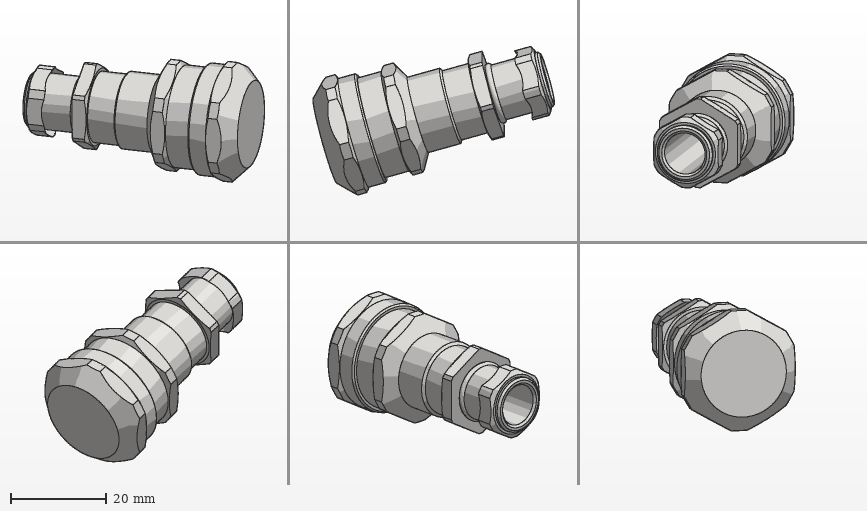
import cadquery as cq
import math

length = 48.7

tube_radius = 12.0 / 2
tube_tip_chamfer = 0.5
bore_radius = 8.8 / 2
bore_mouth_chamfer = 0.5

tip_nut_start = 1.0
tip_nut_end = 5.15
tip_nut_flats = 14.05
tip_nut_corners = 15.2
tip_nut_face_radius = 6.55

ring_section_radius = 0.7
ring_pitch_radius = 5.85
ring_x = 11.3

locknut_start = 11.9
locknut_end = 15.0
locknut_flats = 16.95
locknut_corners = 19.05
locknut_chamfer_length = 0.45
locknut_chamfer_height = 1.25

neck_radius = 15.2 / 2
collar_start = 20.85
collar_radius = 16.5 / 2
collar_cone_length = 0.45
barrel_radius = 21.8 / 2

body_hex_cone_start = 28.35
body_hex_end = 33.3
body_hex_flats = 22.2
body_hex_corners = 23.95

skirt_start = 38.45
skirt_radius = 23.8 / 2
skirt_edge_chamfer = 0.4
cap_hex_start = 42.48
cap_hex_flats = 24.0
cap_hex_corners = 25.7
cap_nose_radius = 9.3

hex_cone_slope = math.tan(math.radians(60))

flat_to_corner_angle = 30

bore_depth = body_hex_cone_start


def revolve(profile):
    """Turn a closed (x, radius) outline around the X axis."""
    return cq.Workplane("XY").polyline(profile).close().revolve(360, (0, 0, 0), (1, 0, 0))


def cylinder(start, end, radius):
    return cq.Workplane("YZ", origin=(start, 0, 0)).circle(radius).extrude(end - start)


def hexagon(start, end, flats, turn=0):
    """Hexagonal bar along X with two flats facing Y, or two facing Z when turned by 30 degrees."""
    plane = cq.Workplane("YZ", origin=(start, 0, 0)).transformed(rotate=(0, 0, turn))
    return plane.polygon(6, flats, circumscribed=True).extrude(end - start)


def cut_corner_hexagon(start, end, flats, corners):
    """Hexagonal bar whose six corners are cut flat."""
    return hexagon(start, end, flats).intersect(hexagon(start, end, corners, flat_to_corner_angle))


def tip_nut():
    """Nut with a cone on its front face and a 45 degree dish in its rear face."""
    corner_radius = tip_nut_corners / 2
    cone_length = (corner_radius - tip_nut_face_radius) / hex_cone_slope
    dish_depth = corner_radius - tube_radius
    envelope = revolve([
        (tip_nut_start, 0),
        (tip_nut_start, tip_nut_face_radius),
        (tip_nut_start + cone_length, corner_radius),
        (tip_nut_end, corner_radius),
        (tip_nut_end - dish_depth, tube_radius),
        (tip_nut_end - dish_depth, 0),
    ])
    return hexagon(tip_nut_start, tip_nut_end, tip_nut_flats).intersect(envelope)


def sealing_ring():
    section = cq.Workplane("XY").moveTo(ring_x, ring_pitch_radius).circle(ring_section_radius)
    return section.revolve(360, (0, 0, 0), (1, 0, 0))


def locknut():
    corner_radius = locknut_corners / 2
    envelope = revolve([
        (locknut_start, 0),
        (locknut_start, corner_radius),
        (locknut_end - locknut_chamfer_length, corner_radius),
        (locknut_end, corner_radius - locknut_chamfer_height),
        (locknut_end, 0),
    ])
    return hexagon(locknut_start, locknut_end, locknut_flats).intersect(envelope)


def collar_with_cone():
    return revolve([
        (collar_start, 0),
        (collar_start, neck_radius),
        (collar_start + collar_cone_length, collar_radius),
        (body_hex_end, collar_radius),
        (body_hex_end, 0),
    ])


def body_hexagon():
    peak_radius = body_hex_flats / math.sqrt(3)
    rise = (peak_radius - collar_radius) / hex_cone_slope
    fall = (peak_radius - barrel_radius) / hex_cone_slope
    envelope = revolve([
        (body_hex_cone_start, 0),
        (body_hex_cone_start, collar_radius),
        (body_hex_cone_start + rise, peak_radius),
        (body_hex_end - fall, peak_radius),
        (body_hex_end, barrel_radius),
        (body_hex_end, 0),
    ])
    bar = cut_corner_hexagon(body_hex_cone_start, body_hex_end, body_hex_flats, body_hex_corners)
    return bar.intersect(envelope)


def cap_hexagon():
    peak_radius = cap_hex_flats / math.sqrt(3)
    rise = (peak_radius - skirt_radius) / hex_cone_slope
    nose_length = peak_radius - cap_nose_radius
    envelope = revolve([
        (cap_hex_start, 0),
        (cap_hex_start, skirt_radius),
        (cap_hex_start + rise, peak_radius),
        (length - nose_length, peak_radius),
        (length, cap_nose_radius),
        (length, 0),
    ])
    bar = cut_corner_hexagon(cap_hex_start, length, cap_hex_flats, cap_hex_corners)
    return bar.intersect(envelope)


def bore():
    mouth_radius = bore_radius + bore_mouth_chamfer
    return revolve([
        (0, 0),
        (0, mouth_radius),
        (bore_mouth_chamfer, bore_radius),
        (bore_depth, bore_radius),
        (bore_depth, 0),
    ])


tube = cylinder(0, locknut_end, tube_radius).faces("<X").chamfer(tube_tip_chamfer)
neck = cylinder(locknut_start, collar_start, neck_radius)
collar = collar_with_cone()
barrel = cylinder(body_hex_end, cap_hex_start, barrel_radius)
skirt = cylinder(skirt_start, cap_hex_start, skirt_radius).faces("<X").chamfer(skirt_edge_chamfer)

result = tube
for piece in (tip_nut(), sealing_ring(), locknut(), neck, collar,
              body_hexagon(), barrel, skirt, cap_hexagon()):
    result = result.union(piece)
result = result.cut(bore())